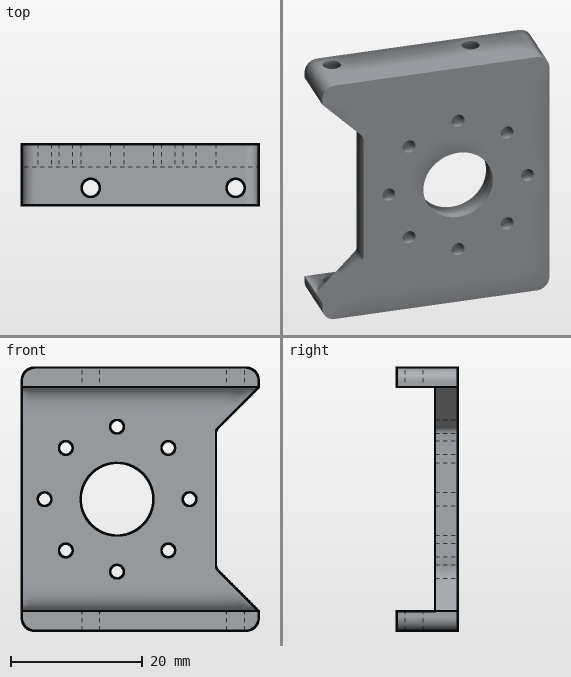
import cadquery as cq

length = 36.0
depth = 9.3
height = 40.0

plate_thickness = 3.5
flange_thickness = 3.0
corner_radius = 2.0

notch_floor_from_left = 29.5
notch_corner_radius = 1.0

bore_from_left = 14.5
bore_diameter = 11.0
ring_diameter = 22.0
ring_hole_diameter = 2.05
ring_hole_count = 8

flange_hole_diameter = 2.7
first_flange_hole_from_left = 10.5
flange_hole_spacing = 22.0
flange_hole_from_front = 2.65

left = -length / 2
right = length / 2
front = -depth / 2
back = depth / 2
inner_half_height = height / 2 - flange_thickness
bore_x = left + bore_from_left


def make_channel():
    block = cq.Workplane("XY").box(length, depth, height).edges("|Y").fillet(corner_radius)
    channel_depth = depth - plate_thickness
    channel = (
        cq.Workplane("XY")
        .box(length, channel_depth, 2 * inner_half_height)
        .translate((0, front + channel_depth / 2, 0))
    )
    return block.cut(channel)


def make_notch():
    floor_x = left + notch_floor_from_left
    floor_half_height = inner_half_height - (right - floor_x)
    return (
        cq.Workplane("XZ", origin=(0, back, 0))
        .polyline([
            (right, inner_half_height),
            (floor_x, floor_half_height),
            (floor_x, -floor_half_height),
            (right, -inner_half_height),
        ])
        .close()
        .extrude(depth)
        .edges("|Y and <X")
        .fillet(notch_corner_radius)
    )


def make_plate_holes():
    plate = cq.Workplane("XZ", origin=(bore_x, back, 0))
    bore = plate.circle(bore_diameter / 2).extrude(plate_thickness)
    ring = (
        plate.polarArray(ring_diameter / 2, 0, 360, ring_hole_count)
        .circle(ring_hole_diameter / 2)
        .extrude(plate_thickness)
    )
    return bore.union(ring)


def make_flange_holes():
    first_x = left + first_flange_hole_from_left
    hole_y = front + flange_hole_from_front
    return (
        cq.Workplane("XY", origin=(0, 0, -height / 2))
        .pushPoints([(first_x, hole_y), (first_x + flange_hole_spacing, hole_y)])
        .circle(flange_hole_diameter / 2)
        .extrude(height)
    )


result = make_channel().cut(make_notch()).cut(make_plate_holes()).cut(make_flange_holes())